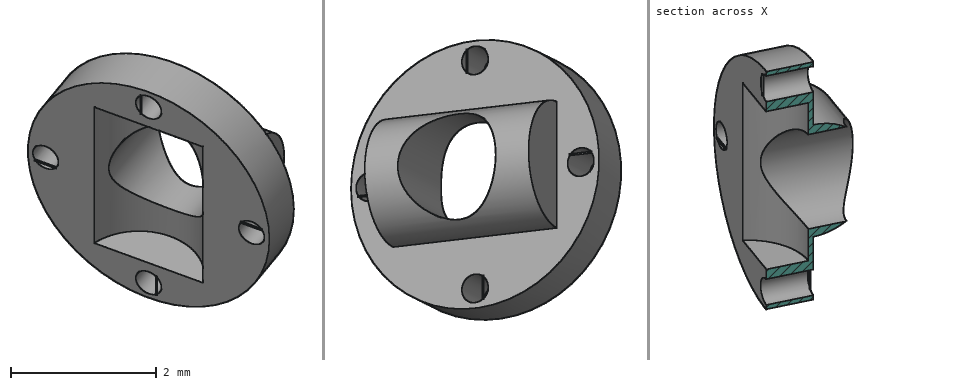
import cadquery as cq
import math

flange_diameter = 3.8
flange_thickness = 0.703

hub_length = 2.508
hub_radius = 0.895
hub_crown_y = flange_thickness + hub_radius

pocket_width = 1.71
pocket_height = hub_length
pocket_radius = hub_radius
pocket_axis_y = -math.sqrt(pocket_radius**2 - (pocket_width / 2) ** 2)
pocket_depth = pocket_axis_y + pocket_radius

bore_diameter = 1.497
bolt_hole_diameter = 0.403
bolt_circle_radius = 1.62
bolt_count = 4

bar_diameter = 0.023
bar_length = 0.34
bar_offset = 0.12


def hole_along_y(x, z, diameter):
    """Cylinder running from the front face through the full depth."""
    return (
        cq.Workplane("XZ")
        .center(x, z)
        .circle(diameter / 2)
        .extrude(-hub_crown_y)
    )


def radial_bar(side_offset, y):
    """Bar along X across the bolt hole on the +X axis, shifted sideways in Z."""
    start = (bolt_circle_radius - bar_length / 2, y, side_offset)
    return cq.Workplane("YZ", origin=start).circle(bar_diameter / 2).extrude(bar_length)


flange = cq.Workplane("XZ").circle(flange_diameter / 2).extrude(-flange_thickness)

hub = (
    cq.Workplane("YZ", origin=(-hub_length / 2, 0, 0))
    .moveTo(flange_thickness, -hub_radius)
    .threePointArc((hub_crown_y, 0), (flange_thickness, hub_radius))
    .close()
    .extrude(hub_length)
)

pocket = (
    cq.Workplane("XY", origin=(0, 0, -pocket_height / 2))
    .moveTo(-pocket_width / 2, 0)
    .threePointArc((0, pocket_depth), (pocket_width / 2, 0))
    .close()
    .extrude(pocket_height)
)

result = flange.union(hub).cut(pocket).cut(hole_along_y(0, 0, bore_diameter))

bolt_hole = hole_along_y(bolt_circle_radius, 0, bolt_hole_diameter)
front_bar = radial_bar(bar_offset, 0)
back_bar = radial_bar(-bar_offset, flange_thickness)

for index in range(bolt_count):
    angle = index * 360 / bolt_count
    result = result.cut(bolt_hole.rotate((0, 0, 0), (0, 1, 0), angle))
    for bar in (front_bar, back_bar):
        result = result.union(bar.rotate((0, 0, 0), (0, 1, 0), angle))